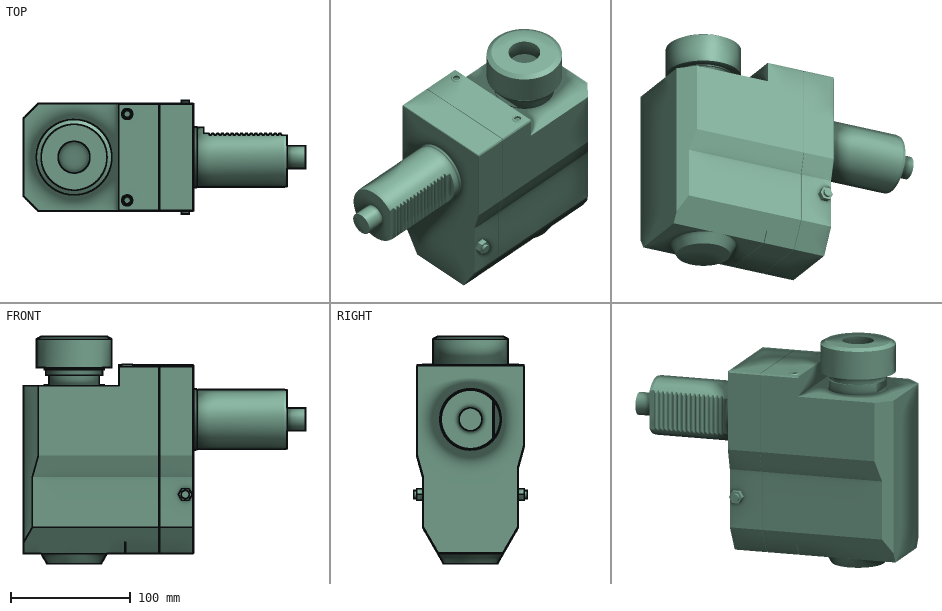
import cadquery as cq
import math


BODY_LENGTH = 142.0
BODY_TOP = 45.4
BODY_BOTTOM = -112.0
STEP_TOP = 28.2
STEP_LENGTH = 79.7
UPPER_HALF_WIDTH = 45.0
LOWER_HALF_WIDTH = 40.0
TAPER_START_FRONT = -30.0
TAPER_START_REAR = -22.0
TAPER_HEIGHT = 18.0
KEEL_START = -90.0
KEEL_ANGLE = 30.0
NOSE_HALF_WIDTH = 32.5
TOP_BEVEL_WIDTH = 0.75
TOP_BEVEL_HEIGHT = 1.3
FACE_CHAMFER = 0.5

SEAM_X = -28.7
SEAM_WIDTH = 0.7
SEAM_DEPTH = 0.5

SLIT_X = -57.0
SLIT_WIDTH = 0.7
SLIT_HEIGHT = 9.3

SPINDLE_X = -99.7
COLLAR_RADIUS = 25.0
COLLAR_TOP = 36.8
FLAT_OFFSET = 21.0
FLAT_LEDGE = 0.8
FLAT_BOTTOM = STEP_TOP + FLAT_LEDGE
NECK_RADIUS = 23.8
RIM_BOTTOM = 41.4
RIM_HEIGHT = 0.7
NUT_BOTTOM = 43.1
NUT_TOP = 69.2
NUT_RADIUS = 31.5
NUT_BEVEL_WIDTH = 4.0
NUT_BEVEL_HEIGHT = 2.2
BORE_RADIUS = 13.25
BORE_DEPTH = 14.0
CAP_TOP_RADIUS = 27.5
CAP_BOTTOM_RADIUS = 22.5
CAP_HEIGHT = (CAP_TOP_RADIUS - CAP_BOTTOM_RADIUS) / math.tan(math.radians(KEEL_ANGLE))

SHANK_RADIUS = 25.0
SHANK_LENGTH = 78.0
SHANK_END_TAPER = 2.5
SHANK_END_RADIUS = 24.5
TIP_RADIUS = 9.6
TIP_END = 93.5
RING_BASE_RADIUS = 24.8
RING_RADIUS = 25.6
RING_WIDTH = 2.9
LEAD_IN_END = 4.6
TEETH_FLAT = 20.0
TOOTH_DEPTH = 1.6
TOOTH_PITCH = 4.0
TOOTH_ANGLE = 75.0
TEETH_SHOULDER_X = 8.6
FIRST_ROOT_X = 14.1
ROOT_COUNT = 15
TOOTH_RUN = TOOTH_DEPTH * math.tan(math.radians(TOOTH_ANGLE / 2))
ROOT_WIDTH = (TOOTH_PITCH - 2 * TOOTH_RUN) / 2

SCREW_X = -55.4
SCREW_Y = 36.0
SCREW_BASE_RADIUS = 4.5
SCREW_TOP_RADIUS = 3.8
SCREW_HEIGHT = 0.6
SOCKET_RADIUS = 2.9
SOCKET_DEPTH = 2.0

NIPPLE_X = -6.9
NIPPLE_Z = -62.7
HEX_ACROSS_FLATS = 10.0
HEX_HEIGHT = 5.0
PIN_RADIUS = 3.4
NIPPLE_REACH = 47.5

OVERLAP = 1.0


def revolve_about_spindle(points):
    """Revolve an (r, z) outline about the vertical spindle axis."""
    solid = cq.Workplane("XZ").polyline(points).close().revolve(360, (0, 0), (0, 1))
    return solid.translate((SPINDLE_X, 0, 0))


def cross_section(inset):
    """Housing outline in the YZ plane, pulled inward by the inset."""
    keel_drop = KEEL_START - BODY_BOTTOM
    keel_half_width = LOWER_HALF_WIDTH - keel_drop * math.tan(math.radians(KEEL_ANGLE))
    bevel_start = BODY_TOP - TOP_BEVEL_HEIGHT
    top_half_width = UPPER_HALF_WIDTH - TOP_BEVEL_WIDTH
    points = [
        (-keel_half_width, BODY_BOTTOM),
        (-LOWER_HALF_WIDTH, KEEL_START),
        (-LOWER_HALF_WIDTH, TAPER_START_FRONT - TAPER_HEIGHT),
        (-UPPER_HALF_WIDTH, TAPER_START_FRONT),
        (-UPPER_HALF_WIDTH, bevel_start),
        (-top_half_width, BODY_TOP),
        (top_half_width, BODY_TOP),
        (UPPER_HALF_WIDTH, bevel_start),
        (UPPER_HALF_WIDTH, TAPER_START_REAR),
        (LOWER_HALF_WIDTH, TAPER_START_REAR - TAPER_HEIGHT),
        (LOWER_HALF_WIDTH, KEEL_START),
        (keel_half_width, BODY_BOTTOM),
    ]
    outline = cq.Workplane("YZ").polyline(points).close()
    if inset:
        outline = outline.offset2D(-inset)
    return outline


def make_housing():
    body = cross_section(0).extrude(-BODY_LENGTH)
    body = body.faces(">X").edges().chamfer(FACE_CHAMFER)

    nose_chamfer = UPPER_HALF_WIDTH - NOSE_HALF_WIDTH
    plan = (
        cq.Workplane("XY", origin=(0, 0, BODY_BOTTOM))
        .polyline([
            (0, -UPPER_HALF_WIDTH),
            (nose_chamfer - BODY_LENGTH, -UPPER_HALF_WIDTH),
            (-BODY_LENGTH, -NOSE_HALF_WIDTH),
            (-BODY_LENGTH, NOSE_HALF_WIDTH),
            (nose_chamfer - BODY_LENGTH, UPPER_HALF_WIDTH),
            (0, UPPER_HALF_WIDTH),
        ])
        .close()
        .extrude(BODY_TOP - BODY_BOTTOM)
    )
    body = body.intersect(plan)

    deck_cut = cq.Workplane("XY", origin=(-BODY_LENGTH, 0, STEP_TOP)).box(
        STEP_LENGTH, 2 * UPPER_HALF_WIDTH, BODY_TOP - STEP_TOP, centered=(False, True, False)
    )
    return body.cut(deck_cut)


def make_seam():
    """Thin band that follows the housing outline just below its surface."""
    outer = cross_section(0).extrude(SEAM_WIDTH)
    inner = cross_section(SEAM_DEPTH).extrude(SEAM_WIDTH)
    return outer.cut(inner).translate((SEAM_X - SEAM_WIDTH / 2, 0, 0))


def make_slit():
    return cq.Workplane("XY", origin=(SLIT_X, 0, BODY_BOTTOM)).box(
        SLIT_WIDTH, 2 * UPPER_HALF_WIDTH, SLIT_HEIGHT, centered=(True, True, False)
    )


def make_spindle():
    rim_top = RIM_BOTTOM + RIM_HEIGHT
    bore_floor = NUT_TOP - BORE_DEPTH
    spindle = revolve_about_spindle([
        (0, STEP_TOP - OVERLAP),
        (COLLAR_RADIUS, STEP_TOP - OVERLAP),
        (COLLAR_RADIUS, COLLAR_TOP),
        (NECK_RADIUS, COLLAR_TOP),
        (NECK_RADIUS, RIM_BOTTOM),
        (COLLAR_RADIUS, RIM_BOTTOM),
        (COLLAR_RADIUS, rim_top),
        (NECK_RADIUS, rim_top),
        (NECK_RADIUS, NUT_BOTTOM),
        (NUT_RADIUS, NUT_BOTTOM),
        (NUT_RADIUS, NUT_TOP - NUT_BEVEL_HEIGHT),
        (NUT_RADIUS - NUT_BEVEL_WIDTH, NUT_TOP),
        (BORE_RADIUS, NUT_TOP),
        (BORE_RADIUS, bore_floor),
        (0, bore_floor),
    ])
    flat_depth = COLLAR_RADIUS - FLAT_OFFSET
    for side in (-1, 1):
        flat_centre = SPINDLE_X + side * (FLAT_OFFSET + flat_depth / 2)
        flat_cut = cq.Workplane("XY", origin=(flat_centre, 0, FLAT_BOTTOM)).box(
            flat_depth, 2 * COLLAR_RADIUS, COLLAR_TOP - FLAT_BOTTOM, centered=(True, True, False)
        )
        spindle = spindle.cut(flat_cut)
    return spindle


def make_lower_cap():
    return revolve_about_spindle([
        (0, BODY_BOTTOM + OVERLAP),
        (CAP_BOTTOM_RADIUS, BODY_BOTTOM + OVERLAP),
        (CAP_BOTTOM_RADIUS, BODY_BOTTOM),
        (CAP_TOP_RADIUS, BODY_BOTTOM),
        (CAP_BOTTOM_RADIUS, BODY_BOTTOM - CAP_HEIGHT),
        (0, BODY_BOTTOM - CAP_HEIGHT),
    ])


def make_teeth_cut():
    """Flat with trapezoidal tooth gaps along the +Y side of the shank."""
    root_y = TEETH_FLAT - TOOTH_DEPTH
    half_root = ROOT_WIDTH / 2
    half_gap = half_root + TOOTH_RUN
    outer_y = SHANK_RADIUS + OVERLAP
    last_root_x = FIRST_ROOT_X + ROOT_COUNT * TOOTH_PITCH
    points = [(TEETH_SHOULDER_X, outer_y), (TEETH_SHOULDER_X, TEETH_FLAT)]
    for index in range(ROOT_COUNT):
        root_x = FIRST_ROOT_X + index * TOOTH_PITCH
        points += [
            (root_x - half_gap, TEETH_FLAT),
            (root_x - half_root, root_y),
            (root_x + half_root, root_y),
            (root_x + half_gap, TEETH_FLAT),
        ]
    points += [
        (last_root_x - half_gap, TEETH_FLAT),
        (last_root_x - half_root, root_y),
        (SHANK_LENGTH, root_y),
        (SHANK_LENGTH, outer_y),
    ]
    return cq.Workplane("XY").polyline(points).close().extrude(SHANK_RADIUS, both=True)


def make_shank():
    profile = (
        cq.Workplane("XY")
        .moveTo(-OVERLAP, 0)
        .lineTo(-OVERLAP, RING_BASE_RADIUS)
        .lineTo(0, RING_BASE_RADIUS)
        .threePointArc((RING_WIDTH / 2, RING_RADIUS), (RING_WIDTH, RING_BASE_RADIUS))
        .lineTo(LEAD_IN_END, SHANK_RADIUS)
        .lineTo(SHANK_LENGTH - SHANK_END_TAPER, SHANK_RADIUS)
        .lineTo(SHANK_LENGTH, SHANK_END_RADIUS)
        .lineTo(SHANK_LENGTH, TIP_RADIUS)
        .lineTo(TIP_END, TIP_RADIUS)
        .lineTo(TIP_END, 0)
        .close()
    )
    shank = profile.revolve(360, (0, 0), (1, 0))
    return shank.cut(make_teeth_cut())


def add_deck_screws(body):
    for side in (-1, 1):
        top_plane = cq.Workplane("XY", origin=(SCREW_X, side * SCREW_Y, BODY_TOP))
        head = (
            top_plane.circle(SCREW_BASE_RADIUS)
            .workplane(offset=SCREW_HEIGHT)
            .circle(SCREW_TOP_RADIUS)
            .loft()
        )
        socket = (
            top_plane.workplane(offset=SCREW_HEIGHT)
            .circle(SOCKET_RADIUS)
            .extrude(-SOCKET_DEPTH)
        )
        body = body.union(head).cut(socket)
    return body


def make_nipple(side):
    """Hexagon with a round pin, standing on the lower flank (side is -1 or 1)."""
    hex_diameter = HEX_ACROSS_FLATS / math.cos(math.pi / 6)
    flank = cq.Workplane("XZ", origin=(NIPPLE_X, side * (LOWER_HALF_WIDTH - OVERLAP), NIPPLE_Z))
    hexagon = flank.polygon(6, hex_diameter).extrude(-side * (HEX_HEIGHT + OVERLAP))
    pin_length = NIPPLE_REACH - LOWER_HALF_WIDTH + OVERLAP
    pin = flank.circle(PIN_RADIUS).extrude(-side * pin_length)
    return hexagon.union(pin)


result = make_housing().cut(make_seam()).cut(make_slit())
result = result.union(make_spindle()).union(make_lower_cap()).union(make_shank())
result = add_deck_screws(result)
for nipple_side in (-1, 1):
    result = result.union(make_nipple(nipple_side))